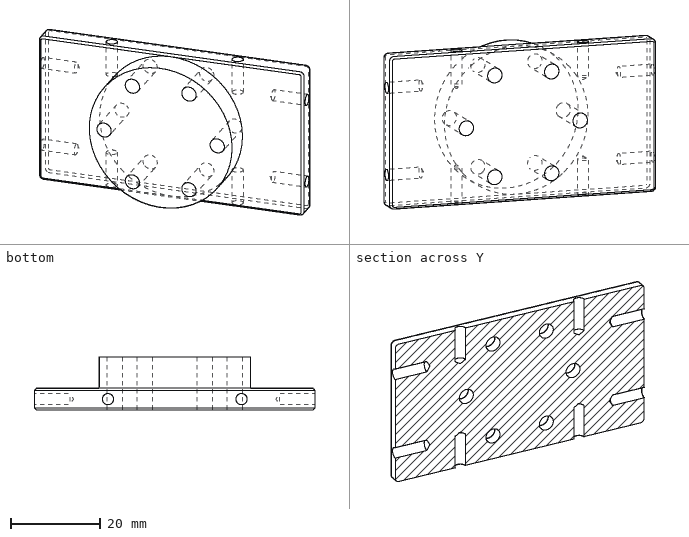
import cadquery as cq
import math

plate_length = 63.0
plate_height = 35.0
plate_thickness = 5.0
corner_radius = 1.0
edge_chamfer = 0.5

total_depth = 12.0
boss_diameter = 34.0
boss_height = total_depth - plate_thickness

bolt_hole_count = 6
bolt_hole_diameter = 3.4
bolt_circle_radius = 13.5

edge_hole_diameter = 2.5
edge_hole_depth = 8.0
drill_point_angle = 118.0
long_side_hole_spacing = 30.0
short_side_hole_spacing = 20.0


def make_plate():
    """Plate with its -Y face at y = 0, rounded corners and chamfered face edges."""
    plate = cq.Workplane("XY").box(
        plate_length, plate_thickness, plate_height, centered=(True, False, True)
    )
    plate = plate.edges("|Y").fillet(corner_radius)
    return plate.faces("<Y or >Y").chamfer(edge_chamfer)


def make_boss():
    """Disc rising from the plate toward -Y."""
    return cq.Workplane("XZ").circle(boss_diameter / 2).extrude(boss_height)


def make_bolt_holes():
    """Cylinders that pass through the boss and the plate."""
    return (
        cq.Workplane("XZ", origin=(0, plate_thickness, 0))
        .polarArray(bolt_circle_radius, 0, 360, bolt_hole_count)
        .circle(bolt_hole_diameter / 2)
        .extrude(total_depth)
    )


def make_edge_hole(x, z, direction):
    """Drilled hole with a conical bottom, centred in the thickness of the plate."""
    radius = edge_hole_diameter / 2
    tip_length = radius / math.tan(math.radians(drill_point_angle / 2))
    start = cq.Vector(x, plate_thickness / 2, z)
    axis = cq.Vector(*direction)
    bore = cq.Solid.makeCylinder(radius, edge_hole_depth, start, axis)
    tip = cq.Solid.makeCone(radius, 0, tip_length, start + axis * edge_hole_depth, axis)
    return cq.Workplane(bore).union(cq.Workplane(tip))


result = make_plate().union(make_boss()).cut(make_bolt_holes())

for side in (-1, 1):
    for end in (-1, 1):
        long_side_hole = make_edge_hole(
            end * long_side_hole_spacing / 2, side * plate_height / 2, (0, 0, -side)
        )
        short_side_hole = make_edge_hole(
            side * plate_length / 2, end * short_side_hole_spacing / 2, (-side, 0, 0)
        )
        result = result.cut(long_side_hole).cut(short_side_hole)